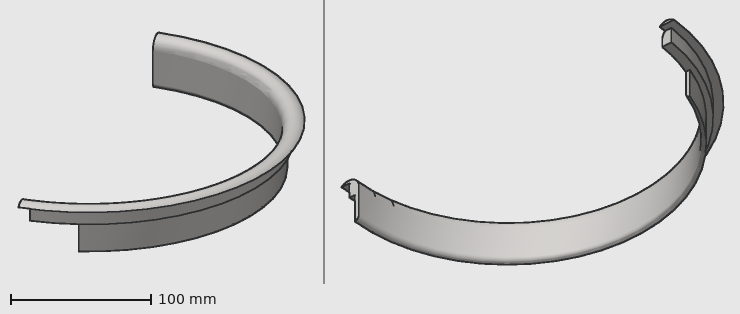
import cadquery as cq
import math

outer_radius = 154.2
height = 39.5
inner_radius = 138.0
wall_outer_radius = 141.8
collar_outer_radius = 146.8
collar_bottom = 23.7
lip_bottom = 36.7
crest_round = 9.3
foot_round = 4.5

back_end = 0.5
collar_end = 6.2
wall_end = 39.5

crest_radius = inner_radius + crest_round
crest_center_z = height - crest_round
diagonal = math.sqrt(0.5)


def make_half_ring():
    """Revolve the section half a turn about Z, on the +X side."""
    foot_width = wall_outer_radius - inner_radius
    foot_mid = (
        wall_outer_radius - foot_width * diagonal,
        foot_round * (1 - diagonal),
    )
    crest_mid = (
        crest_radius - crest_round * diagonal,
        crest_center_z + crest_round * diagonal,
    )
    lip_mid_radius = (crest_radius + outer_radius) / 2
    lip_mid_rise = math.sqrt(crest_round**2 - (lip_mid_radius - crest_radius) ** 2)
    section = (
        cq.Workplane("XZ")
        .moveTo(wall_outer_radius, 0)
        .threePointArc(foot_mid, (inner_radius, foot_round))
        .lineTo(inner_radius, crest_center_z)
        .threePointArc(crest_mid, (crest_radius, height))
        .threePointArc((lip_mid_radius, crest_center_z + lip_mid_rise), (outer_radius, lip_bottom))
        .lineTo(collar_outer_radius, lip_bottom)
        .lineTo(collar_outer_radius, collar_bottom)
        .lineTo(wall_outer_radius, collar_bottom)
        .close()
    )
    full_ring = section.revolve(360, (0, 0, 0), (0, 1, 0))
    keep = cq.Workplane("XY").box(
        outer_radius, 2 * outer_radius, height, centered=(False, True, False)
    )
    return full_ring.intersect(keep)


def end_cut(length, top, side):
    """Block removing everything below top, for X < length, on one Y side."""
    return (
        cq.Workplane("XY")
        .box(length, outer_radius, top, centered=(False, False, False))
        .translate((0, 0 if side > 0 else -outer_radius, 0))
    )


result = (
    make_half_ring()
    .cut(end_cut(back_end, height, 1))
    .cut(end_cut(collar_end, lip_bottom, -1))
    .cut(end_cut(wall_end, collar_bottom, -1))
)